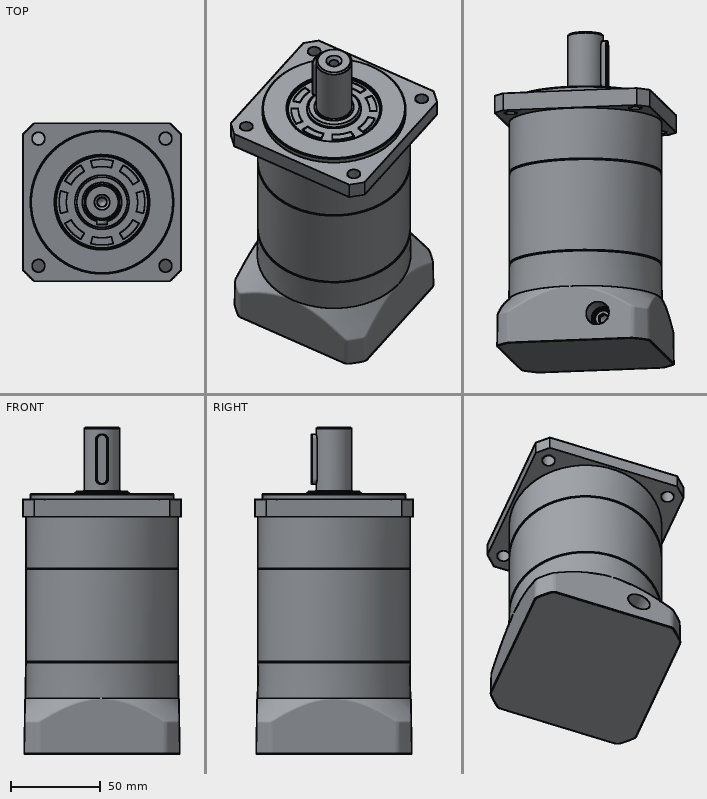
import cadquery as cq
import math

TOTAL_HEIGHT = 182.0
BASE_TOP = 51.3
RING_TOP = 103.2
FLANGE_BOTTOM = 132.1
FLANGE_TOP = 141.8
BOSS_TOP = 145.0
COLLAR_TOP = 146.3

FLANGE_WIDTH = 88.0
FLANGE_CORNER_CHAMFER = 6.2
BODY_DIAMETER = 85.0
BODY_EDGE_CHAMFER = 0.4
BOSS_DIAMETER = 79.9
BOSS_CHAMFER = 0.5
MOUNTING_CIRCLE_DIAMETER = 100.1
MOUNTING_HOLE_DIAMETER = 7.1
MOUNTING_HOLE_COUNT = 4
FIRST_HOLE_ANGLE = 45.0

COVER_DIAMETER = 52.0
COVER_THICKNESS = 5.5
COVER_RECESS = 1.0
COVER_CHAMFER = 0.5
COVER_SEAT_CHAMFER = 0.5
POCKET_COUNT = 8
POCKET_OUTER_RADIUS = 23.8
POCKET_INNER_RADIUS = 19.8
POCKET_ANGLE = 30.5
POCKET_DEPTH = 0.4

COLLAR_DIAMETER = 30.2
COLLAR_CHAMFER = 1.1

SHAFT_DIAMETER = 20.0
SHAFT_CHAMFER = 1.0
SHOULDER_DIAMETER = 22.0
SHOULDER_RISE = 0.4
SHOULDER_CHAMFER_HEIGHT = 0.5
CENTRE_HOLE_DIAMETER = 5.3
CENTRE_HOLE_DEPTH = 14.5
COUNTERSINK_DIAMETER = 8.5
COUNTERSINK_DEPTH = 1.8
DRILL_POINT_ANGLE = 118.0

KEY_WIDTH = 6.0
KEYWAY_WIDTH = 7.1
KEY_HEIGHT = 6.0
KEY_LENGTH = 28.0
KEY_BOTTOM = 150.2
KEY_TOP_OFFSET = 12.5
KEY_CHAMFER = 0.4

BASE_WIDTH = 86.8
DRAFT_ANGLE = 1.0
CORNER_RADIUS = 56.0
CORNER_FILLET = 4.0
SLOPE_TOP = 31.1
SLOPE_TOP_RADIUS = 42.8
SLOPE_FILLET = 1.5
SLOPE_OVERLAP = 3.6
NECK_BOTTOM = 29.3
BASE_BOTTOM_CHAMFER = 0.4

ACCESS_Y = -15.5
ACCESS_Z = 15.1
ACCESS_DIAMETER = 13.0
ACCESS_DEPTH = 16.4
ACCESS_FLOOR_CHAMFER = 0.5
SCREW_HEAD_DIAMETER = 10.7
SCREW_HEAD_CHAMFER = 1.0
SCREW_LENGTH = 11.0
SOCKET_ACROSS_FLATS = 5.1
SOCKET_SIDES = 6
SOCKET_DEPTH = 3.6

COVER_TOP = BOSS_TOP - COVER_RECESS
COVER_BOTTOM = COVER_TOP - COVER_THICKNESS


def disc(diameter, bottom, top):
    """Upright cylinder on the Z axis."""
    return cq.Workplane("XY").workplane(offset=bottom).circle(diameter / 2).extrude(top - bottom)


def drill_point_depth(diameter):
    """Length of the conical end left by a drill."""
    return diameter / 2 / math.tan(math.radians(DRILL_POINT_ANGLE / 2))


def key_blank(width):
    """Round-ended bar, standing along Z and proud of the -Y side of the shaft."""
    return (
        cq.Workplane("XZ", origin=(0, -KEY_TOP_OFFSET, KEY_BOTTOM + KEY_LENGTH / 2))
        .slot2D(KEY_LENGTH, width, 90)
        .extrude(-KEY_HEIGHT)
    )


def make_key():
    return key_blank(KEY_WIDTH).faces("<Y").chamfer(KEY_CHAMFER)


def make_shaft():
    """Shaft with a shoulder at its foot, a centre hole in its end and a keyway wider than the key."""
    shoulder_top = COLLAR_TOP + SHOULDER_RISE
    shoulder_edge = shoulder_top - SHOULDER_CHAMFER_HEIGHT
    shoulder = disc(SHOULDER_DIAMETER, COVER_BOTTOM, shoulder_edge)
    shoulder_slope = cq.Solid.makeCone(
        SHOULDER_DIAMETER / 2,
        SHAFT_DIAMETER / 2,
        SHOULDER_CHAMFER_HEIGHT,
        cq.Vector(0, 0, shoulder_edge),
    )
    shoulder = shoulder.union(cq.Workplane(shoulder_slope))
    shaft = disc(SHAFT_DIAMETER, COVER_BOTTOM, TOTAL_HEIGHT).faces(">Z").chamfer(SHAFT_CHAMFER)
    hole_floor = TOTAL_HEIGHT - CENTRE_HOLE_DEPTH
    centre_hole = (
        cq.Workplane("XZ")
        .moveTo(0, TOTAL_HEIGHT)
        .lineTo(COUNTERSINK_DIAMETER / 2, TOTAL_HEIGHT)
        .lineTo(CENTRE_HOLE_DIAMETER / 2, TOTAL_HEIGHT - COUNTERSINK_DEPTH)
        .lineTo(CENTRE_HOLE_DIAMETER / 2, hole_floor)
        .lineTo(0, hole_floor - drill_point_depth(CENTRE_HOLE_DIAMETER))
        .close()
        .revolve()
    )
    return shaft.union(shoulder).cut(centre_hole).cut(key_blank(KEYWAY_WIDTH))


def make_collar():
    collar = disc(COLLAR_DIAMETER, COVER_BOTTOM, COLLAR_TOP).faces(">Z").chamfer(COLLAR_CHAMFER)
    return collar.cut(disc(SHOULDER_DIAMETER, COVER_BOTTOM, COLLAR_TOP))


def cover_pocket(angle):
    """Shallow ring-segment recess centred on the given direction."""

    def point(radius, offset):
        direction = math.radians(angle + offset)
        return radius * math.cos(direction), radius * math.sin(direction)

    half = POCKET_ANGLE / 2
    return (
        cq.Workplane("XY")
        .workplane(offset=COVER_TOP - POCKET_DEPTH)
        .moveTo(*point(POCKET_INNER_RADIUS, -half))
        .lineTo(*point(POCKET_OUTER_RADIUS, -half))
        .threePointArc(point(POCKET_OUTER_RADIUS, 0), point(POCKET_OUTER_RADIUS, half))
        .lineTo(*point(POCKET_INNER_RADIUS, half))
        .threePointArc(point(POCKET_INNER_RADIUS, 0), point(POCKET_INNER_RADIUS, -half))
        .close()
        .extrude(POCKET_DEPTH)
    )


def make_cover():
    cover = disc(COVER_DIAMETER, COVER_BOTTOM, COVER_TOP).faces(">Z").chamfer(COVER_CHAMFER)
    cover = cover.cut(disc(COLLAR_DIAMETER, COVER_BOTTOM, COVER_TOP))
    for index in range(POCKET_COUNT):
        cover = cover.cut(cover_pocket(index * 360 / POCKET_COUNT))
    return cover


def make_housing():
    body = disc(BODY_DIAMETER, RING_TOP, FLANGE_BOTTOM).faces("<Z").chamfer(BODY_EDGE_CHAMFER)
    flange = (
        cq.Workplane("XY")
        .workplane(offset=FLANGE_BOTTOM)
        .rect(FLANGE_WIDTH, FLANGE_WIDTH)
        .extrude(FLANGE_TOP - FLANGE_BOTTOM)
        .edges("|Z")
        .chamfer(FLANGE_CORNER_CHAMFER)
    )
    mounting_holes = (
        cq.Workplane("XY")
        .workplane(offset=FLANGE_BOTTOM)
        .polarArray(MOUNTING_CIRCLE_DIAMETER / 2, FIRST_HOLE_ANGLE, 360, MOUNTING_HOLE_COUNT)
        .circle(MOUNTING_HOLE_DIAMETER / 2)
        .extrude(FLANGE_TOP - FLANGE_BOTTOM)
    )
    boss = disc(BOSS_DIAMETER, FLANGE_TOP, BOSS_TOP).faces(">Z").chamfer(BOSS_CHAMFER)
    housing = body.union(flange.cut(mounting_holes)).union(boss)
    housing = housing.cut(disc(COVER_DIAMETER, COVER_BOTTOM, BOSS_TOP))
    seat_edge = cq.selectors.RadiusNthSelector(0)
    return housing.faces(">Z").edges(seat_edge).chamfer(COVER_SEAT_CHAMFER)


def make_ring():
    return disc(BODY_DIAMETER, BASE_TOP, RING_TOP).faces("<Z or >Z").chamfer(BODY_EDGE_CHAMFER)


def rounded_block():
    """Drafted square block whose corners are turned to a cone of the same draft and blended in."""
    height = SLOPE_TOP + SLOPE_OVERLAP
    square = cq.Workplane("XY").rect(BASE_WIDTH, BASE_WIDTH).extrude(height, taper=DRAFT_ANGLE)
    turned = cq.Workplane("XY").circle(CORNER_RADIUS).extrude(height, taper=DRAFT_ANGLE)
    block = square.intersect(turned)
    upright_edges = [edge for edge in block.edges().vals() if edge.BoundingBox().zlen > height / 2]
    return block.newObject(upright_edges).fillet(CORNER_FILLET)


def sloped_block():
    """Rounded block under a 45 degree cone, with the rim of the cone rounded over."""
    height = SLOPE_TOP + SLOPE_OVERLAP
    slope = cq.Solid.makeCone(SLOPE_TOP_RADIUS + SLOPE_TOP, SLOPE_TOP_RADIUS - SLOPE_OVERLAP, height)
    block = rounded_block().intersect(cq.Workplane(slope))
    slope_face = [
        face for face in block.faces("%CONE").vals() if face.BoundingBox().zmin > SLOPE_TOP / 2
    ]
    rim_edges = [
        edge
        for edge in block.newObject(slope_face).edges().vals()
        if edge.geomType() != "LINE" and edge.BoundingBox().zmin < SLOPE_TOP
    ]
    block = block.newObject(rim_edges).fillet(SLOPE_FILLET)
    return block.faces("<Z").chamfer(BASE_BOTTOM_CHAMFER)


def screw_plane():
    """Plane at the floor of the access hole, facing out through the -X side."""
    floor_x = ACCESS_DEPTH - BASE_WIDTH / 2
    return cq.Plane(origin=(floor_x, ACCESS_Y, ACCESS_Z), xDir=(0, -1, 0), normal=(-1, 0, 0))


def screw_blank():
    return cq.Workplane(screw_plane()).circle(SCREW_HEAD_DIAMETER / 2).extrude(-SCREW_LENGTH)


def make_base():
    neck_height = BASE_TOP - NECK_BOTTOM
    neck_foot = cq.Vector(0, 0, NECK_BOTTOM)
    neck = cq.Workplane(
        cq.Solid.makeCone(SLOPE_TOP_RADIUS, BODY_DIAMETER / 2, neck_height, neck_foot)
    )
    neck = neck.faces(">Z").chamfer(BODY_EDGE_CHAMFER)
    access_hole = cq.Workplane(screw_plane()).circle(ACCESS_DIAMETER / 2).extrude(ACCESS_DEPTH)
    access_hole = access_hole.faces(">X").chamfer(ACCESS_FLOOR_CHAMFER)
    return sloped_block().union(neck).cut(access_hole).cut(screw_blank())


def make_screw():
    """Socket-head screw whose hexagonal socket ends in a drill point."""
    socket_diameter = SOCKET_ACROSS_FLATS / math.cos(math.pi / SOCKET_SIDES)
    point_depth = drill_point_depth(socket_diameter)
    hexagon = (
        cq.Workplane(screw_plane())
        .transformed(rotate=(0, 0, 90))
        .polygon(SOCKET_SIDES, socket_diameter)
        .extrude(-SOCKET_DEPTH - point_depth)
    )
    floor = screw_plane().origin
    inward = cq.Vector(1, 0, 0)
    point_start = floor + inward * SOCKET_DEPTH
    bore = cq.Solid.makeCylinder(socket_diameter / 2, SOCKET_DEPTH, floor, inward)
    point = cq.Solid.makeCone(socket_diameter / 2, 0, point_depth, point_start, inward)
    drilling = cq.Workplane(bore).union(cq.Workplane(point))
    socket = hexagon.intersect(drilling)
    screw = screw_blank().faces("<X").chamfer(SCREW_HEAD_CHAMFER)
    return screw.cut(socket)


housing = make_housing()
ring = make_ring()
base = make_base()
cover = make_cover()
collar = make_collar()
shaft = make_shaft()
key = make_key()
screw = make_screw()

result = cq.Compound.makeCompound(
    [
        housing.val(),
        ring.val(),
        base.val(),
        cover.val(),
        collar.val(),
        shaft.val(),
        key.val(),
        screw.val(),
    ]
)